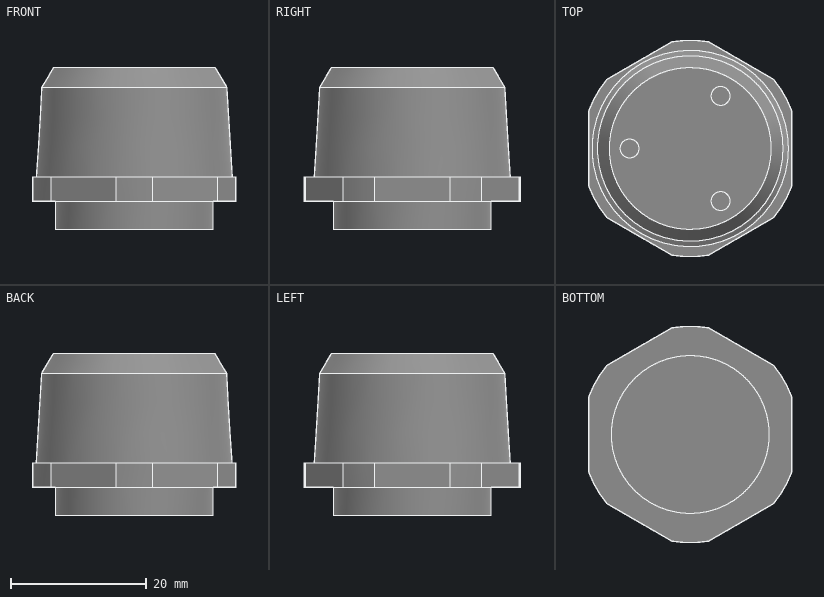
import cadquery as cq

corner_diameter = 32.0
across_flats = 30.0
flange_height = 3.6

spigot_diameter = 23.33
spigot_height = 4.2

cap_base_diameter = 29.0
bevel_base_diameter = 27.4
top_diameter = 23.9
taper_height = 13.2
bevel_height = 2.95

hole_count = 3
hole_diameter = 2.8
hole_depth = 4.0
hole_circle_radius = 8.95
first_hole_angle = 180

flange_bottom = spigot_height
flange_top = flange_bottom + flange_height
bevel_bottom = flange_top + taper_height
top = bevel_bottom + bevel_height


def make_spigot_and_cap():
    """Revolve the round profile of the spigot and the cap about Z."""
    return (
        cq.Workplane("XZ")
        .lineTo(spigot_diameter / 2, 0)
        .lineTo(spigot_diameter / 2, flange_top)
        .lineTo(cap_base_diameter / 2, flange_top)
        .lineTo(bevel_base_diameter / 2, bevel_bottom)
        .lineTo(top_diameter / 2, top)
        .lineTo(0, top)
        .close()
        .revolve(360, (0, 0, 0), (0, 1, 0))
    )


def make_flange():
    """Hexagon with two flats facing +X and -X, its corners trimmed by a circle."""
    base = cq.Workplane("XY").workplane(offset=flange_bottom)
    hexagon = base.polygon(6, across_flats, circumscribed=True).extrude(flange_height)
    disc = base.circle(corner_diameter / 2).extrude(flange_height)
    return hexagon.intersect(disc)


def make_holes():
    """Cylinders that cut the blind holes down from the top face."""
    return (
        cq.Workplane("XY")
        .workplane(offset=top)
        .polarArray(hole_circle_radius, first_hole_angle, 360, hole_count)
        .circle(hole_diameter / 2)
        .extrude(-hole_depth)
    )


result = make_spigot_and_cap().union(make_flange()).cut(make_holes())